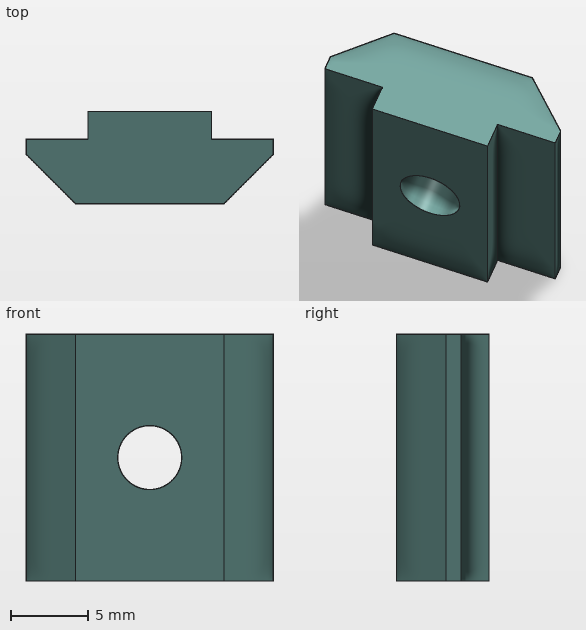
import cadquery as cq

width = 16.0
length = 16.0
depth = 6.0
tongue_width = 8.0
tongue_height = 1.8
bevel = 3.2
hole_diameter = 4.13

front_y = -depth / 2
back_y = depth / 2
shoulder_y = back_y - tongue_height
half_width = width / 2
half_tongue = tongue_width / 2
half_front = half_width - bevel


def nut_body():
    """T-slot nut profile in the XY plane, extruded along Z."""
    profile = [
        (-half_front, front_y),
        (half_front, front_y),
        (half_width, front_y + bevel),
        (half_width, shoulder_y),
        (half_tongue, shoulder_y),
        (half_tongue, back_y),
        (-half_tongue, back_y),
        (-half_tongue, shoulder_y),
        (-half_width, shoulder_y),
        (-half_width, front_y + bevel),
    ]
    return cq.Workplane("XY").polyline(profile).close().extrude(length / 2, both=True)


def through_hole():
    """Central hole along Y, through the full depth."""
    return cq.Workplane("XZ").circle(hole_diameter / 2).extrude(depth, both=True)


result = nut_body().cut(through_hole())